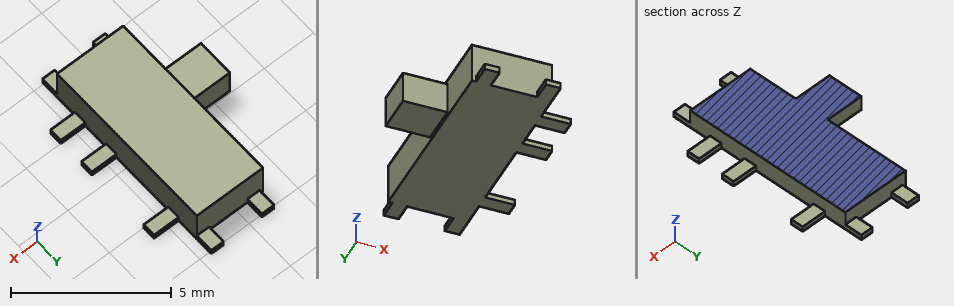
import cadquery as cq

body_width = 2.7
body_length = 6.75
body_height = 1.4

knob_reach = 1.5
knob_width = 1.4
knob_height = 1.1
knob_center_y = -knob_width / 2

lead_thickness = 0.2
pin_reach = 1.0
pin_width = 0.5
pin_pitch = 1.5
pin_slots = (-1.5, -0.5, 1.5)
tab_reach = 0.7
tab_width = 0.5
tab_spacing = 2.06


def box(size_x, size_y, size_z, center_x, center_y, bottom_z=0.0):
    """Box centred in X and Y at the given point, rising from bottom_z."""
    solid = cq.Workplane("XY").box(size_x, size_y, size_z, centered=(True, True, False))
    return solid.translate((center_x, center_y, bottom_z))


def make_body():
    return box(body_width, body_length, body_height, 0, 0)


def make_knob():
    center_x = -(body_width + knob_reach) / 2
    bottom_z = (body_height - knob_height) / 2
    return box(knob_reach, knob_width, knob_height, center_x, knob_center_y, bottom_z)


def make_pins():
    """Contact pins along the +X side."""
    center_x = (body_width + pin_reach) / 2
    return [
        box(pin_reach, pin_width, lead_thickness, center_x, slot * pin_pitch)
        for slot in pin_slots
    ]


def make_tabs():
    """Mounting tabs, two on each end of the housing."""
    outer_x = (body_width - tab_width) / 2
    center_y = (body_length + tab_reach) / 2
    return [
        box(tab_width, tab_reach, lead_thickness, center_x, end * center_y)
        for center_x in (outer_x - tab_spacing, outer_x)
        for end in (-1, 1)
    ]


result = make_body().union(make_knob())
for lead in make_pins() + make_tabs():
    result = result.union(lead)